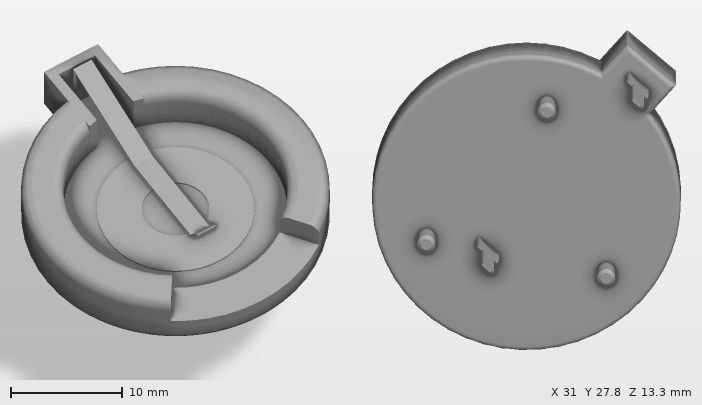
import cadquery as cq
import math

overall_length = 30.98
housing_radius = 13.88
housing_height = 4.95
top_round = 0.95
bottom_round = 0.45

pocket_radius = 10.07
floor_height = 1.0
ledge_height = 2.48
ledge_half_angle = math.radians(35)

ring_outer_diameter = 14.15
ring_inner_diameter = 6.07
ring_height = 0.15

box_width = 5.82
box_wall = 0.95
box_end_x = housing_radius - overall_length

spring_width = 1.98
spring_thickness = 0.1
spring_root_x = -15.25
spring_top_z = 5.98
spring_bend_x = -5.17
spring_bend_z = 2.57
spring_low_x = 3.95
spring_low_z = 2.3
spring_tip_x = 5.0
spring_tip_z = 3.45

pin_thickness = 0.25
pin_shoulder_width = 2.35
pin_shoulder_z = -2.63
pin_blade_width = 1.25
pin_tip_z = -7.28
pin_tip_chamfer = 0.28
pin_centres_x = (-15.25, 5.27)

post_diameter = 1.58
post_length = 2.6
post_chamfer = 0.28
post_circle_radius = 9.5
post_angles = (30, 150, 270)


def cylinder(radius, bottom, top):
    return cq.Workplane("XY").workplane(offset=bottom).circle(radius).extrude(top - bottom)


def terminal_box():
    """Block running from the -X end to the axis, rounded along its outer bottom edges."""
    block = cq.Workplane("XY").box(
        -box_end_x, box_width, housing_height, centered=(False, True, False)
    ).translate((box_end_x, 0, 0))
    return block.faces("<X or <Y or >Y").edges("<Z").fillet(bottom_round)


def ledge_cutter():
    """Wedge with radial sides that removes the rim above the ledge."""
    reach = 2 * housing_radius
    half_width = reach * math.tan(ledge_half_angle)
    return (
        cq.Workplane("XY").workplane(offset=ledge_height)
        .polyline([(0, 0), (reach, -half_width), (reach, half_width)]).close()
        .extrude(housing_height)
    )


def rim_rounding_cutter():
    """Ring that rounds the upper inner edge of the pocket."""
    rounded_radius = pocket_radius + top_round
    round_start_z = housing_height - top_round
    diagonal = top_round * math.sqrt(0.5)
    return (
        cq.Workplane("XZ")
        .moveTo(pocket_radius, round_start_z)
        .threePointArc(
            (rounded_radius - diagonal, round_start_z + diagonal),
            (rounded_radius, housing_height),
        )
        .lineTo(pocket_radius, housing_height).close()
        .revolve(360, (0, 0, 0), (0, 1, 0))
    )


def housing():
    body = cylinder(housing_radius, 0, housing_height)
    body = body.faces(">Z").edges().fillet(top_round)
    body = body.faces("<Z").edges().fillet(bottom_round)
    body = body.cut(rim_rounding_cutter())
    body = body.union(terminal_box())
    body = body.cut(cylinder(pocket_radius, floor_height, housing_height))

    slot_start_x = box_end_x + box_wall
    slot = cq.Workplane("XY").box(
        -slot_start_x, box_width - 2 * box_wall, housing_height, centered=(False, True, False)
    ).translate((slot_start_x, 0, floor_height))
    return body.cut(slot).cut(ledge_cutter())


def contact_ring():
    ring_top = floor_height + ring_height
    ring = cylinder(ring_outer_diameter / 2, floor_height, ring_top)
    return ring.cut(cylinder(ring_inner_diameter / 2, floor_height, ring_top))


def spring():
    """Bent strip that rises from the box floor, slopes into the pocket and turns up at its tip."""
    inner_x = spring_root_x + spring_thickness
    return (
        cq.Workplane("XZ")
        .moveTo(spring_root_x, 0)
        .lineTo(spring_root_x, spring_top_z)
        .lineTo(spring_bend_x, spring_bend_z)
        .lineTo(spring_low_x, spring_low_z)
        .lineTo(spring_tip_x, spring_tip_z)
        .lineTo(spring_tip_x + spring_thickness, spring_tip_z - spring_thickness)
        .lineTo(spring_low_x + spring_thickness, spring_low_z - spring_thickness)
        .lineTo(spring_bend_x, spring_bend_z - spring_thickness)
        .lineTo(inner_x, spring_top_z - 2 * spring_thickness)
        .lineTo(inner_x, 0)
        .close()
        .extrude(spring_width / 2, both=True)
    )


def pin(centre_x):
    """Stepped flat pin that starts inside the housing floor."""
    blade = cq.Workplane("XY").box(
        pin_thickness, pin_blade_width, -pin_tip_z, centered=(True, True, False)
    ).translate((0, 0, pin_tip_z))
    blade = blade.faces("<Z").edges("|X").chamfer(pin_tip_chamfer)
    shoulder = cq.Workplane("XY").box(
        pin_thickness, pin_shoulder_width, floor_height - pin_shoulder_z, centered=(True, True, False)
    ).translate((0, 0, pin_shoulder_z))
    return blade.union(shoulder).translate((centre_x, 0, 0))


def post(angle):
    x = post_circle_radius * math.cos(math.radians(angle))
    y = post_circle_radius * math.sin(math.radians(angle))
    peg = cylinder(post_diameter / 2, -post_length, floor_height)
    return peg.faces("<Z").edges().chamfer(post_chamfer).translate((x, y, 0))


result = housing().union(contact_ring()).union(spring())
for pin_x in pin_centres_x:
    result = result.union(pin(pin_x))
for post_angle in post_angles:
    result = result.union(post(post_angle))